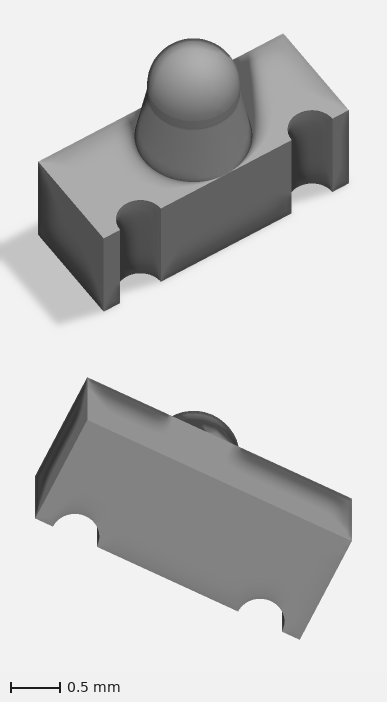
import cadquery as cq

total_length = 3.0
width = 1.2
block_height = 1.2
centre_length = 1.2
end_length = (total_length - centre_length) / 2

notch_radius = 0.25
notch_y = (centre_length + end_length) / 2

total_height = 2.51
foot_radius = width / 2
dome_radius = 0.475
foot_height = 0.7
foot_top_z = block_height + foot_height
dome_base_z = total_height - dome_radius
dome_arc_offset = dome_radius * 0.5 ** 0.5

strip_length = 0.26
strip_height = 0.1
strip_y = -(centre_length - strip_length) / 2


def floor_box(length, height, y):
    """Full-width box standing on Z = 0, centred at the given Y."""
    return cq.Workplane("XY").center(0, y).box(width, length, height, centered=(True, True, False))


def make_end_block(side):
    """End block on the +Y (side = 1) or -Y (side = -1) end, notched through its full height."""
    block = floor_box(end_length, block_height, side * notch_y)
    notch = cq.Workplane("XY").center(width / 2, side * notch_y).circle(notch_radius).extrude(block_height)
    return block.cut(notch)


def make_strip():
    return floor_box(strip_length, strip_height, strip_y)


def make_centre_block():
    """Centre block with a matching recess for the strip."""
    return floor_box(centre_length, block_height, 0).cut(make_strip())


def make_lens():
    """Lens revolved about Z from its half profile."""
    return (
        cq.Workplane("XZ")
        .moveTo(0, block_height)
        .lineTo(foot_radius, block_height)
        .lineTo(dome_radius, foot_top_z)
        .lineTo(dome_radius, dome_base_z)
        .threePointArc((dome_arc_offset, dome_base_z + dome_arc_offset), (0, total_height))
        .close()
        .revolve(360, (0, 0, 0), (0, 1, 0))
    )


end_blocks = [make_end_block(side) for side in (-1, 1)]
centre_block = make_centre_block()
strip = make_strip()
lens = make_lens()

result = cq.Compound.makeCompound(
    [block.val() for block in end_blocks] + [centre_block.val(), strip.val(), lens.val()]
)